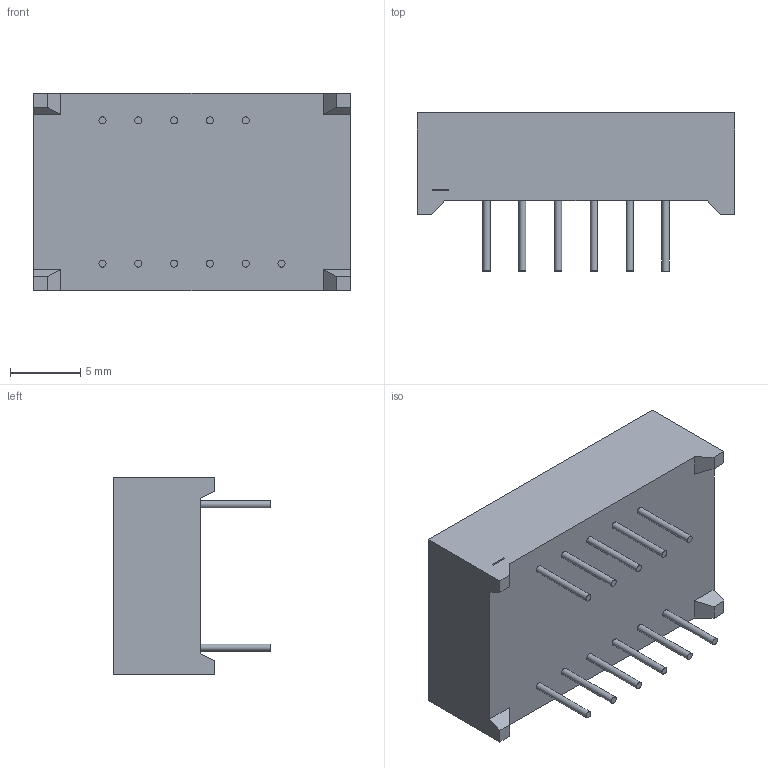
import cadquery as cq

body_width = 22.5
body_height = 14.0
body_depth = 6.2
back_y = -body_depth

foot_height = 1.0
foot_tip_size = 1.0
foot_base_width = 1.95
foot_base_height = 1.5

pin_diameter = 0.5
pin_length = 5.0
pin_pitch = 2.54
row_pitch_count = 4
row_spacing = row_pitch_count * pin_pitch
lower_row_count = 6
upper_row_count = 5
first_pin_x = -(lower_row_count - 1) * pin_pitch / 2

groove_length = 1.15
groove_width = 0.1
groove_depth = 0.1
groove_side_gap = 1.05
groove_back_gap = 0.75


def make_body():
    block = cq.Workplane("XY").box(body_width, body_depth, body_height)
    return block.translate((0, back_y / 2, 0))


def make_foot(x_side, z_side):
    """Foot flush with two outer sides and sloping on its two inner sides."""
    corner_x = x_side * body_width / 2
    corner_z = z_side * body_height / 2

    def section(y, width, height):
        center_x = corner_x - x_side * width / 2
        center_z = corner_z - z_side * height / 2
        return cq.Workplane("XZ", origin=(center_x, y, center_z)).rect(width, height).wires().val()

    base = section(back_y, foot_base_width, foot_base_height)
    tip = section(back_y - foot_height, foot_tip_size, foot_tip_size)
    return cq.Workplane(cq.Solid.makeLoft([base, tip], True))


def make_pin_row(count, z):
    """Row of pins standing on the back face and pointing toward -Y."""
    centers = [(first_pin_x + i * pin_pitch, z) for i in range(count)]
    back_plane = cq.Workplane("XZ", origin=(0, back_y, 0))
    return back_plane.pushPoints(centers).circle(pin_diameter / 2).extrude(pin_length)


def make_marking_groove():
    center_x = -body_width / 2 + groove_side_gap + groove_length / 2
    center_y = back_y + groove_back_gap
    top_plane = cq.Workplane("XY", origin=(center_x, center_y, body_height / 2))
    return top_plane.rect(groove_length, groove_width).extrude(-groove_depth)


result = make_body()
for x_side in (-1, 1):
    for z_side in (-1, 1):
        result = result.union(make_foot(x_side, z_side))
result = result.union(make_pin_row(lower_row_count, -row_spacing / 2))
result = result.union(make_pin_row(upper_row_count, row_spacing / 2))
result = result.cut(make_marking_groove())